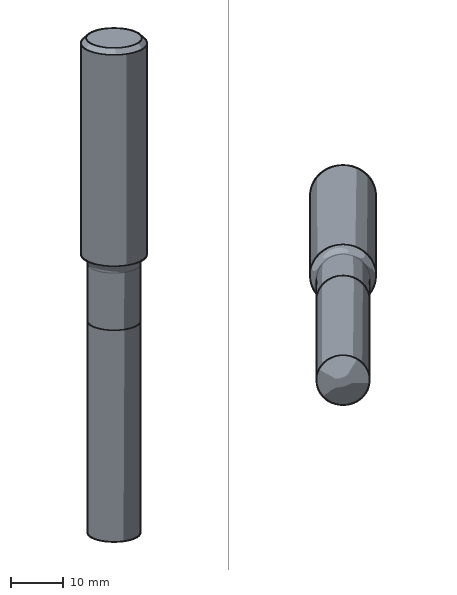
import cadquery as cq

total_length = 103.2
shank_diameter = 12.7
cutter_diameter = 10.2

shank_length = 44.4
shank_chamfer = 1.0
shoulder_length = 1.9
neck_length = 11.8

point_length = 1.8

shank_radius = shank_diameter / 2
cutter_radius = cutter_diameter / 2
shank_bottom = total_length - shank_length
neck_top = shank_bottom - shoulder_length
joint_height = neck_top - neck_length


def make_shank():
    """Revolve the shank, with its concave shoulder and its neck."""
    flare = shank_radius - cutter_radius
    return (
        cq.Workplane("XZ")
        .moveTo(0, joint_height)
        .lineTo(cutter_radius, joint_height)
        .lineTo(cutter_radius, neck_top)
        .tangentArcPoint((flare, shoulder_length), relative=True)
        .lineTo(shank_radius, total_length - shank_chamfer)
        .lineTo(shank_radius - shank_chamfer, total_length)
        .lineTo(0, total_length)
        .close()
        .revolve(360, (0, 0, 0), (0, 1, 0))
    )


def make_cutter():
    """Revolve the cutting end, pointed at the bottom and flat at the joint."""
    return (
        cq.Workplane("XZ")
        .lineTo(cutter_radius, point_length)
        .lineTo(cutter_radius, joint_height)
        .lineTo(0, joint_height)
        .close()
        .revolve(360, (0, 0, 0), (0, 1, 0))
    )


shank = make_shank()
cutter = make_cutter()

result = cq.Compound.makeCompound([shank.val(), cutter.val()])